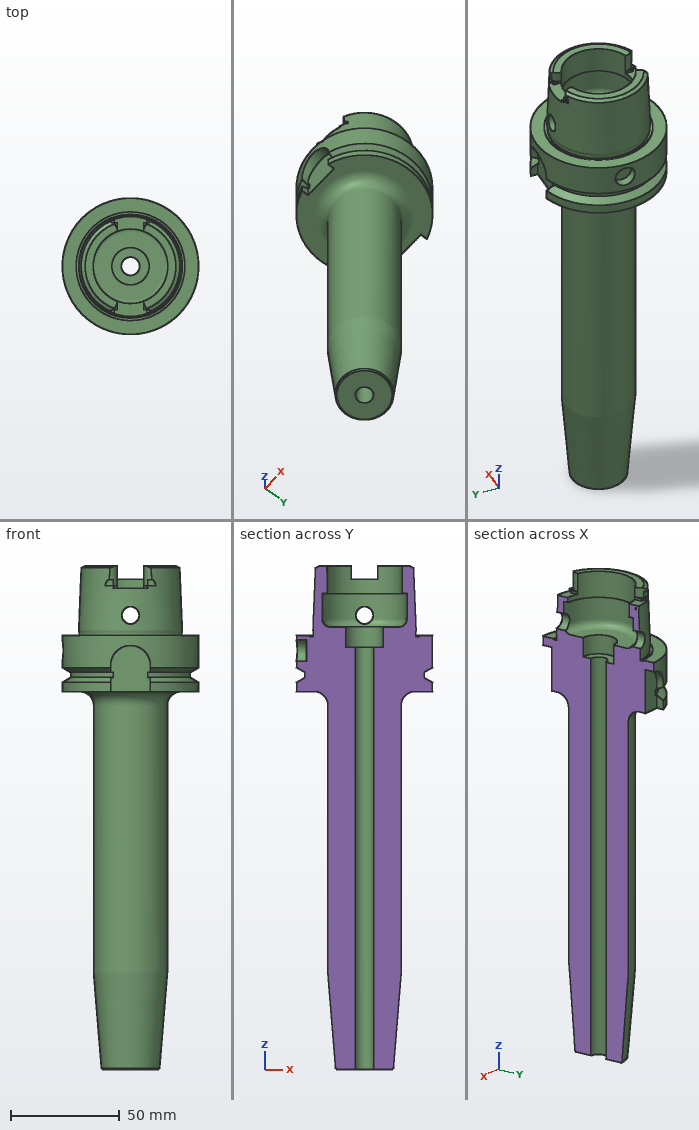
import cadquery as cq
import math


total_length = 232
shank_length = 32.0
shank_top_radius = 22.7
shank_base_radius = 24.0
rim_chamfer_width = 1.9
rim_chamfer_height = 1.0
relief_top = 2.3
relief_bottom = 1.2
relief_radius = 23.7
face_recess_radius = 25.0
face_recess_depth = 0.5

flange_diameter = 62.8
flange_height = 26.0
groove_radius = 27.5
groove_top = -14.8
groove_bottom = -21.5
groove_flank_angle = 30

body_diameter = 34.0
body_fillet = 6.0
nose_length = 44.8
nose_tip_diameter = 27.0
nose_chamfer = 0.7

bore_radius = 17.2
bore_upper_depth = 12.8
bore_lower_radius = 19.5
bore_depth = 28.0
bore_floor_fillet = 3.7
tube_seat_radius = 8.5
tube_seat_depth = 9.3
through_hole_radius = 4.2

slot_width = 12.0
slot_mouth_radius = 4.9
slot_mouth_start_y = 16.0
slot_shelf_height = 1.2
front_slot_depth = 10.2
rear_slot_depth = 6.0
wing_half_width = 12.3
wing_top_half_width = 10.2
wing_floor_half_width = 8.0
wing_rise = 2.8
wing_inner_y = 20.0

keyway_width = 18.3
keyway_floor_y = 26.5
keyway_top = -4.6
cross_hole_radius = 4.0
cross_hole_z = 9.3
chip_hole_radius = 4.9
chip_hole_z = -7
chip_hole_depth = 4.6

bottom_z = shank_length - total_length
flange_bottom_z = -flange_height
flange_radius = flange_diameter / 2
body_radius = body_diameter / 2
nose_tip_radius = nose_tip_diameter / 2


def make_turned_body():
    """Revolve the outer profile of shank, flange, body and nose."""
    flank_height = (flange_radius - groove_radius) * math.tan(math.radians(groove_flank_angle))
    fillet_mid = body_fillet * (1 - math.sqrt(0.5))
    profile = (
        cq.Workplane("XZ")
        .moveTo(0, shank_length)
        .lineTo(shank_top_radius - rim_chamfer_width, shank_length)
        .lineTo(shank_top_radius, shank_length - rim_chamfer_height)
        .lineTo(shank_base_radius, relief_top)
        .lineTo(relief_radius, relief_bottom)
        .lineTo(relief_radius, -face_recess_depth)
        .lineTo(face_recess_radius, -face_recess_depth)
        .lineTo(face_recess_radius, 0)
        .lineTo(flange_radius, 0)
        .lineTo(flange_radius, groove_top)
        .lineTo(groove_radius, groove_top - flank_height)
        .lineTo(groove_radius, groove_bottom + flank_height)
        .lineTo(flange_radius, groove_bottom)
        .lineTo(flange_radius, flange_bottom_z)
        .lineTo(body_radius + body_fillet, flange_bottom_z)
        .threePointArc(
            (body_radius + fillet_mid, flange_bottom_z - fillet_mid),
            (body_radius, flange_bottom_z - body_fillet),
        )
        .lineTo(body_radius, bottom_z + nose_length)
        .lineTo(nose_tip_radius, bottom_z + nose_chamfer)
        .lineTo(nose_tip_radius - nose_chamfer, bottom_z)
        .lineTo(0, bottom_z)
        .close()
    )
    return profile.revolve(360, (0, 0, 0), (0, 1, 0))


def make_bore():
    """Undercut clamping bore, coolant tube seat and axial through hole."""
    top = cq.Workplane("XY").workplane(offset=shank_length)
    lower = (
        top.workplane(offset=-bore_upper_depth)
        .circle(bore_lower_radius)
        .extrude(bore_upper_depth - bore_depth)
        .faces("<Z")
        .edges()
        .fillet(bore_floor_fillet)
    )
    upper = top.circle(bore_radius).extrude(-bore_upper_depth)
    seat = top.circle(tube_seat_radius).extrude(-bore_depth - tube_seat_depth)
    hole = top.circle(through_hole_radius).extrude(-total_length)
    return lower.union(upper).union(seat).union(hole)


def make_drive_slot(depth):
    """Open slot on the -Y side with rounded mouth edges and flared lower corners."""
    floor_z = shank_length - depth
    shelf_z = floor_z + slot_shelf_height
    half_width = slot_width / 2
    mouth_half_width = half_width + slot_mouth_radius
    mouth_end_y = slot_mouth_start_y + slot_mouth_radius
    mid_run = slot_mouth_radius * math.sqrt(0.5)
    mid_half_width = mouth_half_width - mid_run
    mid_y = slot_mouth_start_y + mid_run

    channel = (
        cq.Workplane("XY", origin=(0, -flange_radius / 2, floor_z))
        .rect(slot_width, flange_radius)
        .extrude(depth)
    )
    mouth = (
        cq.Workplane("XY", origin=(0, 0, shelf_z))
        .moveTo(-half_width, -slot_mouth_start_y)
        .threePointArc((-mid_half_width, -mid_y), (-mouth_half_width, -mouth_end_y))
        .lineTo(-mouth_half_width, -flange_radius)
        .lineTo(mouth_half_width, -flange_radius)
        .lineTo(mouth_half_width, -mouth_end_y)
        .threePointArc((mid_half_width, -mid_y), (half_width, -slot_mouth_start_y))
        .close()
        .extrude(depth)
    )
    wings = (
        cq.Workplane("XZ", origin=(0, -wing_inner_y, 0))
        .moveTo(-wing_half_width, shelf_z)
        .lineTo(-mid_half_width, shelf_z)
        .lineTo(-wing_floor_half_width, floor_z)
        .lineTo(wing_floor_half_width, floor_z)
        .lineTo(mid_half_width, shelf_z)
        .lineTo(wing_half_width, shelf_z)
        .lineTo(wing_top_half_width, shelf_z + wing_rise)
        .lineTo(-wing_top_half_width, shelf_z + wing_rise)
        .close()
        .extrude(flange_radius - wing_inner_y)
    )
    return channel.union(mouth).union(wings)


def make_keyway():
    """Flat-floored keyway on the -Y side of the flange with a round upper end."""
    radius = keyway_width / 2
    return (
        cq.Workplane("XZ", origin=(0, -keyway_floor_y, 0))
        .moveTo(-radius, flange_bottom_z)
        .lineTo(-radius, keyway_top - radius)
        .threePointArc((0, keyway_top), (radius, keyway_top - radius))
        .lineTo(radius, flange_bottom_z)
        .close()
        .extrude(flange_radius - keyway_floor_y)
    )


def turned_to_rear(cutter):
    """Turn a -Y side cutter half a turn about Z, to the +Y side."""
    return cutter.rotate((0, 0, 0), (0, 0, 1), 180)


keyway = make_keyway()
cross_hole = (
    cq.Workplane("XZ", origin=(0, 0, cross_hole_z))
    .circle(cross_hole_radius)
    .extrude(flange_radius, both=True)
)
chip_hole = (
    cq.Workplane("YZ", origin=(-flange_radius, 0, chip_hole_z))
    .circle(chip_hole_radius)
    .extrude(chip_hole_depth)
)

result = (
    make_turned_body()
    .cut(make_bore())
    .cut(make_drive_slot(front_slot_depth))
    .cut(turned_to_rear(make_drive_slot(rear_slot_depth)))
    .cut(keyway)
    .cut(turned_to_rear(keyway))
    .cut(cross_hole)
    .cut(chip_hole)
)